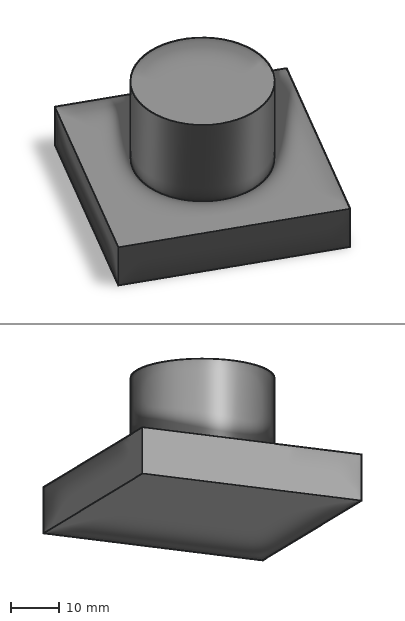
import cadquery as cq

plate_side = 50.0
plate_thickness = 10.0
boss_diameter = 30.0
boss_height = 20.0


def make_plate():
    """Square base plate, centred on the Z axis with its underside at Z = 0."""
    return cq.Workplane("XY").rect(plate_side, plate_side).extrude(plate_thickness)


def make_boss():
    """Round boss standing on the middle of the plate's top face."""
    return (
        cq.Workplane("XY")
        .workplane(offset=plate_thickness)
        .circle(boss_diameter / 2)
        .extrude(boss_height)
    )


plate = make_plate()
boss = make_boss()

result = cq.Compound.makeCompound([plate.val(), boss.val()])